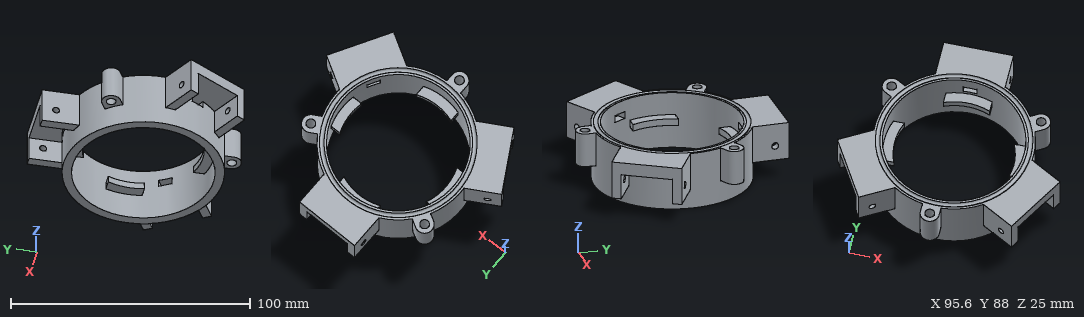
import cadquery as cq
import math

overall_width = 95.6
height = 25.0
ring_radius = 34.0
bore_radius = 30.0

groove_centre_radius = 32.0
groove_radius = 1.0

arm_angles = (90, 210, 330)
arm_width = 30.0
arm_height = 16.4
arm_wall = 4.0
arm_roof = 5.4
half_arm_rise = arm_width / 2 * math.sin(math.radians(30))
arm_reach = (overall_width / 2 - half_arm_rise) / math.cos(math.radians(30))
arm_bottom = height - arm_height
pin_radius = 1.4
pin_inset = 6.0
pin_drop = 10.0

window_width = 5.9
window_height = 3.1

lug_angles = (30, 150, 270)
lug_radius = 4.0
lug_hole_radius = 2.0
lug_distance = 37.5
lug_offset = -2.0
lug_height = 15.0

tab_top = 15.0
tab_thickness = 3.0
tab_inner_radius = 25.5
tab_half_width = 9.9
tabs = (
    (0, -5.8, tab_half_width),
    (90, -tab_half_width, tab_half_width),
    (180, -tab_half_width, tab_half_width),
    (270, -8.6, tab_half_width),
)


def block(x_start, x_end, y_start, y_end, z_start, z_end):
    """Box given by its limits along each axis."""
    size = (x_end - x_start, y_end - y_start, z_end - z_start)
    return cq.Workplane("XY").box(*size, centered=False).translate((x_start, y_start, z_start))


def cylinder(radius, z_start, z_end):
    """Cylinder about the ring axis."""
    return cq.Workplane("XY").workplane(offset=z_start).circle(radius).extrude(z_end - z_start)


def turned(shape, angle):
    """Shape rotated about the ring axis."""
    return shape.rotate((0, 0, 0), (0, 0, 1), angle)


def make_arm():
    """Arm along +X with an open channel and a cross hole through both walls."""
    half_width = arm_width / 2
    half_channel = half_width - arm_wall
    arm = block(0, arm_reach, -half_width, half_width, arm_bottom, height)
    channel = block(0, arm_reach, -half_channel, half_channel, arm_bottom, height - arm_roof)
    pin_hole = (
        cq.Workplane("XZ")
        .center(arm_reach - pin_inset, height - pin_drop)
        .circle(pin_radius)
        .extrude(half_width, both=True)
    )
    return arm.cut(channel).cut(pin_hole)


def make_lug():
    """Round-ended lug along +X."""
    bottom = height - lug_height
    web = block(bore_radius, lug_distance, lug_offset - lug_radius, lug_offset + lug_radius, bottom, height)
    end = cylinder(lug_radius, bottom, height).translate((lug_distance, lug_offset, 0))
    return web.union(end)


def make_tab(side_start, side_end):
    """Tab along +X with parallel ends and a concentric inner face."""
    root_radius = (bore_radius + ring_radius) / 2
    bottom = tab_top - tab_thickness
    band = cylinder(root_radius, bottom, tab_top).cut(cylinder(tab_inner_radius, bottom, tab_top))
    return band.intersect(block(0, ring_radius, side_start, side_end, bottom, tab_top))


body = cylinder(ring_radius, 0, arm_bottom)
for angle in arm_angles:
    body = body.union(turned(make_arm(), angle))
body = body.union(cylinder(ring_radius, 0, height))
for angle in lug_angles:
    body = body.union(turned(make_lug(), angle))
body = body.cut(cylinder(bore_radius, 0, height))

for angle in lug_angles:
    screw_hole = cylinder(lug_hole_radius, 0, height).translate((lug_distance, lug_offset, 0))
    body = body.cut(turned(screw_hole, angle))

window_top = height - arm_roof
window = block(
    tab_inner_radius, ring_radius, -window_width / 2, window_width / 2, window_top - window_height, window_top
)
for angle in arm_angles:
    body = body.cut(turned(window, angle))

groove = cq.Solid.makeTorus(groove_centre_radius, groove_radius, cq.Vector(0, 0, height))
body = body.cut(cq.Workplane(obj=groove))

for angle, side_start, side_end in tabs:
    body = body.union(turned(make_tab(side_start, side_end), angle))

result = body